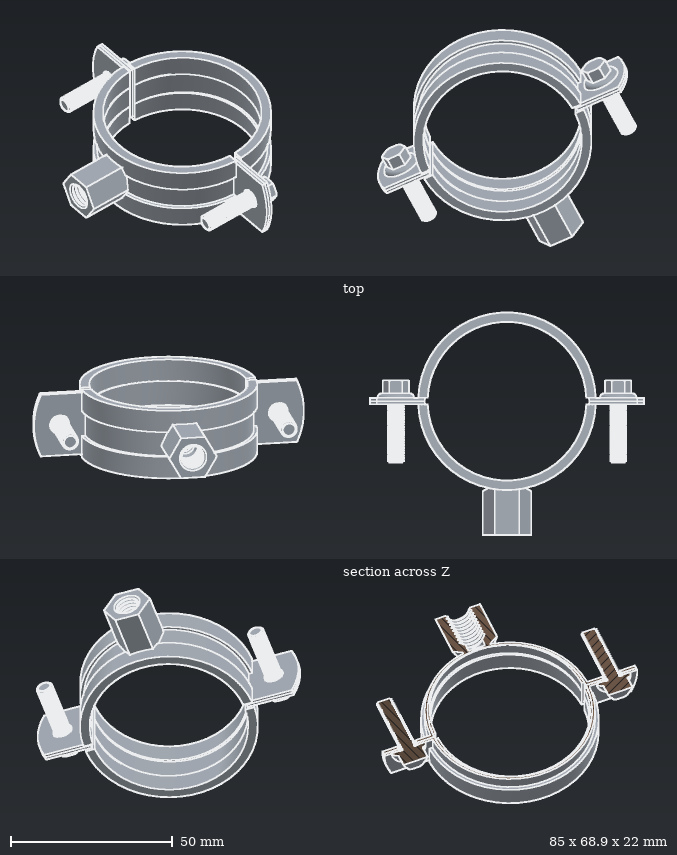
import cadquery as cq
import math


band_inner_radius = 25.4
band_thickness = 1.0
band_outer_radius = band_inner_radius + band_thickness
band_width = 20.0
ear_reach = 42.48
ear_corner_reach = 40.3
screw_offset = 34.4
screw_hole_diameter = 6.0

liner_inner_radius = 24.5
liner_outer_radius = 27.5
liner_width = 22.0
groove_width = 8.0
inner_groove_depth = 0.7

nut_across_flats = 13.0
nut_end_y = -41.42
nut_bevel_y = -27.8
nut_bevel_angle = 30.0
nut_thread_diameter = 8.4
nut_thread_minor_diameter = 7.0
nut_thread_pitch = 1.25
nut_thread_crest = 0.3
nut_thread_turns = 9
nut_bore_diameter = 5.4

screw_major_diameter = 5.1
screw_core_diameter = 4.0
screw_pitch = 0.8
screw_crest = 0.2
screw_length = 20.0
screw_tip_length = 0.2
head_across_flats = 7.1
head_height = 5.5
head_flange_diameter = 11.4
head_flange_height = 1.5
head_flange_bulge = 0.45
head_chamfer_height = 0.2
head_chamfer_angle = 30.0

TO_CORNERS = 1 / math.cos(math.radians(30))


def disc(radius, width):
    """Disc around the Z axis, centred on z = 0."""
    return cq.Workplane("XY", origin=(0, 0, -width / 2)).circle(radius).extrude(width)


def ring(inner_radius, outer_radius, width):
    """Ring around the Z axis, centred on z = 0."""
    return disc(outer_radius, width).cut(disc(inner_radius, width))


def rear_of(y):
    """Block that covers everything behind the given y."""
    size = 4 * ear_reach
    return cq.Workplane("XY").box(size, size, size).translate((0, y + size / 2, 0))


def revolve_about_y(profile):
    """Solid turned from a closed (radius, y) outline around the Y axis."""
    return profile.close().revolve(360, (0, 0, 0), (0, 1, 0))


def hexagon_bar(across_flats, start_y, end_y):
    """Hexagonal bar along Y with two corners pointing along X."""
    return (
        cq.Workplane("XZ", origin=(0, end_y, 0))
        .polygon(6, across_flats * TO_CORNERS)
        .extrude(end_y - start_y)
    )


def make_half_band():
    """Rear half band: half ring with one rounded, drilled ear on each side."""
    half_width = band_width / 2
    ears = (
        cq.Workplane("XZ")
        .moveTo(-ear_corner_reach, -half_width)
        .lineTo(ear_corner_reach, -half_width)
        .threePointArc((ear_reach, 0), (ear_corner_reach, half_width))
        .lineTo(-ear_corner_reach, half_width)
        .threePointArc((-ear_reach, 0), (-ear_corner_reach, -half_width))
        .close()
        .extrude(-band_thickness)
    )
    ears = ears.cut(disc(band_inner_radius, band_width))
    band = ring(band_inner_radius, band_outer_radius, band_width).intersect(rear_of(0)).union(ears)
    holes = (
        cq.Workplane("XZ")
        .pushPoints([(-screw_offset, 0), (screw_offset, 0)])
        .circle(screw_hole_diameter / 2)
        .extrude(-band_thickness)
    )
    return band.cut(holes)


def make_liner(half_band):
    """Rear liner: half ring that encloses the band, with a groove outside and inside.

    The inner groove is deepest in the middle of the half ring and runs out at its ends.
    """
    liner = ring(liner_inner_radius, liner_outer_radius, liner_width)
    liner = liner.cut(ring(band_outer_radius, liner_outer_radius, groove_width))
    inner_groove = disc(liner_inner_radius, groove_width).translate((0, inner_groove_depth, 0))
    liner = liner.cut(inner_groove)
    return liner.intersect(rear_of(band_thickness)).cut(half_band)


def make_nut_body():
    """Hexagonal body of the nut, its two side corners bevelled where it sits on the band."""
    corner = nut_across_flats * TO_CORNERS / 2
    bevel_meeting_y = nut_bevel_y + corner * math.tan(math.radians(nut_bevel_angle))
    body = hexagon_bar(nut_across_flats, nut_end_y, -band_inner_radius)
    envelope = (
        cq.Workplane("XY")
        .moveTo(-corner, nut_end_y)
        .lineTo(corner, nut_end_y)
        .lineTo(corner, nut_bevel_y)
        .lineTo(0, bevel_meeting_y)
        .lineTo(-corner, nut_bevel_y)
        .close()
        .extrude(nut_across_flats / 2, both=True)
    )
    return body.intersect(envelope).cut(disc(band_outer_radius, liner_width))


def make_nut_bore():
    """Threaded hole that opens at the nut's end and narrows to a plain bore down to the band."""
    major = nut_thread_diameter / 2
    minor = nut_thread_minor_diameter / 2
    bore = nut_bore_diameter / 2
    flank = (nut_thread_pitch - nut_thread_crest) / 2
    profile = cq.Workplane("XY").moveTo(0, nut_end_y).lineTo(major, nut_end_y)
    y = nut_end_y
    for _ in range(nut_thread_turns):
        profile = profile.lineTo(minor, y + flank)
        profile = profile.lineTo(minor, y + flank + nut_thread_crest)
        y += nut_thread_pitch
        profile = profile.lineTo(major, y)
    profile = profile.lineTo(bore, y + major - bore)
    profile = profile.lineTo(bore, -band_inner_radius).lineTo(0, -band_inner_radius)
    return revolve_about_y(profile).cut(disc(band_outer_radius, liner_width))


def make_screw():
    """Screw along Y through the ears, its head seated on the rear ear."""
    seat_y = band_thickness
    tip_y = seat_y - screw_length
    core = screw_core_diameter / 2
    crest = screw_major_diameter / 2
    flank = (screw_pitch - screw_crest) / 2
    turns = math.floor((screw_length - screw_tip_length) / screw_pitch)
    profile = cq.Workplane("XY").moveTo(0, tip_y).lineTo(core, tip_y)
    y = tip_y + screw_tip_length
    profile = profile.lineTo(core, y)
    for _ in range(turns):
        profile = profile.lineTo(crest, y + flank)
        profile = profile.lineTo(crest, y + flank + screw_crest)
        y += screw_pitch
        profile = profile.lineTo(core, y)
    shank = revolve_about_y(profile.lineTo(core, seat_y).lineTo(0, seat_y))

    rim_radius = head_flange_diameter / 2
    hexagon_radius = head_across_flats * TO_CORNERS / 2
    flange_top_y = seat_y + head_flange_height
    head_flange = revolve_about_y(
        cq.Workplane("XY")
        .moveTo(0, seat_y)
        .lineTo(rim_radius, seat_y)
        .sagittaArc((hexagon_radius, flange_top_y), -head_flange_bulge)
        .lineTo(0, flange_top_y)
    )

    top_y = seat_y + head_height
    chamfer_y = top_y - head_chamfer_height
    chamfer_tip_y = chamfer_y + hexagon_radius * math.tan(math.radians(head_chamfer_angle))
    chamfer_cone = revolve_about_y(
        cq.Workplane("XY")
        .moveTo(0, seat_y)
        .lineTo(hexagon_radius, seat_y)
        .lineTo(hexagon_radius, chamfer_y)
        .lineTo(0, chamfer_tip_y)
    )
    hexagon = hexagon_bar(head_across_flats, seat_y, top_y).intersect(chamfer_cone)
    return shank.union(head_flange).union(hexagon)


rear_band = make_half_band()
rear_liner = make_liner(rear_band)
nut_body = make_nut_body()
front_band = rear_band.mirror("XZ").union(nut_body).cut(make_nut_bore())
front_liner = rear_liner.mirror("XZ").cut(nut_body)
screw = make_screw()
screws = [screw.translate((side * screw_offset, 0, 0)) for side in (-1, 1)]

bodies = [rear_band, front_band, rear_liner, front_liner, *screws]
result = cq.Compound.makeCompound([body.solids().val() for body in bodies])